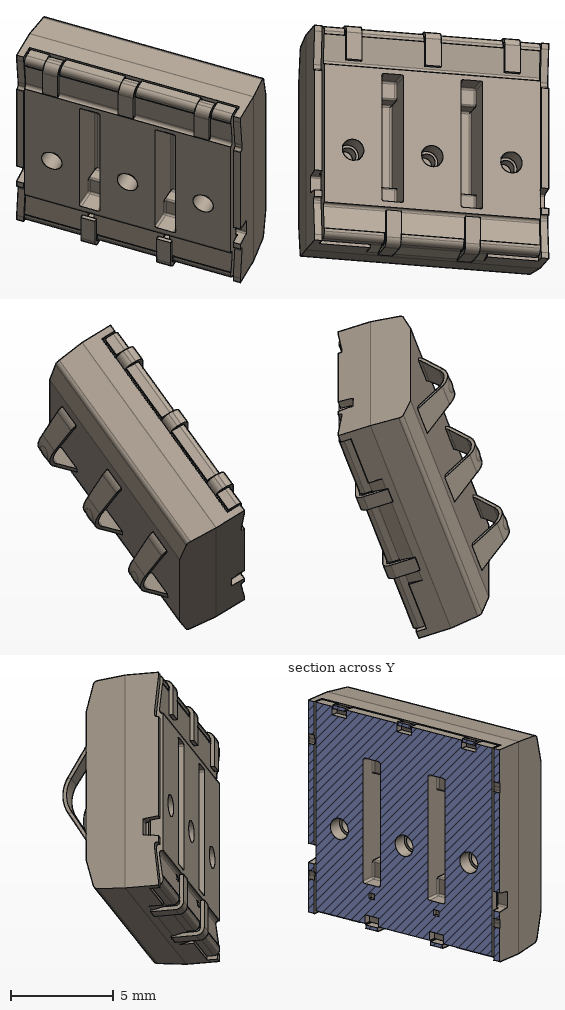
import cadquery as cq
import math


WIDTH = 11.82
HEIGHT = 10.99
REAR_Y = 2.02
WALL_FRONT_Y = -1.67
DRAFT_ANGLE = 5
DRAFT = math.tan(math.radians(DRAFT_ANGLE))
SLANT_START_Z = 3.82
SLANT_RUN_Y = 0.41
REAR_EDGE_RADIUS = 0.26
WALL_THICKNESS = 0.38
CAVITY_FLOOR_Y = -1.15

SIDE_GAP = 0.08
BASE_FRONT_Y = -1.8
BASE_BOTTOM_Z = -5.33
BASE_CORNER_RADIUS = 0.28
TOP_RIM_Z = 5.06
BOTTOM_RIM_Z = -4.88
GROOVE_REAR_Y = -0.92
BASE_REAR_Y = -1.03
GROOVE_DEPTH = 0.18

PITCH = 4.0
UPPER_CONTACTS_X = (-PITCH, 0, PITCH)
LOWER_CONTACTS_X = (-PITCH / 2, PITCH / 2)
TAB_THICKNESS = 0.2
TAB_FRONT_Y = -2.02
TAB_END_Z = 3.78
HEIGHT_OVER_TABS = 11.15
TAB_OUTER_Z = HEIGHT_OVER_TABS / 2
TAB_BEND_RADIUS = 0.41
UPPER_TAB_WIDTH = 0.79
LOWER_TAB_WIDTH = 0.75
TAB_CLEARANCE = 0.04

half_width = WIDTH / 2
half_height = HEIGHT / 2
cavity_width = WIDTH - 2 * WALL_THICKNESS
base_width = cavity_width - 2 * SIDE_GAP
tab_inner_y = TAB_FRONT_Y + TAB_THICKNESS


def extrude_side_profile(points, width):
    """Extrude a closed (Y, Z) outline symmetrically along X."""
    return cq.Workplane("YZ").polyline(points).close().extrude(width / 2, both=True)


def mirrored_about_x0(right_half):
    """Close a symmetric outline by adding the mirror image of its right half."""
    left_half = [(-x, other) for x, other in reversed(right_half)]
    return right_half + left_half


def extrude_plan(right_half):
    """Extrude a symmetric (X, Y) outline over the full housing height."""
    outline = cq.Workplane("XY").polyline(mirrored_about_x0(right_half)).close()
    return outline.extrude(half_height, both=True)


def round_edge(body, y, z, radius):
    """Fillet the edge along X that passes closest to (Y, Z)."""
    return body.edges(cq.NearestToPointSelector((0, y, z))).fillet(radius)


def box_between(x_range, y_range, z_range):
    """Axis-aligned box from its lower and upper limits."""
    (x0, x1), (y0, y1), (z0, z1) = x_range, y_range, z_range
    return cq.Workplane("XY").box(x1 - x0, y1 - y0, z1 - z0, centered=False).translate((x0, y0, z0))


def make_shell():
    """Solid housing with slanted rear edges and drafted sides behind Y = 0."""
    slant_y = REAR_Y - SLANT_RUN_Y
    slant_z = half_height - DRAFT * slant_y
    upper_half = [(WALL_FRONT_Y, half_height), (0, half_height), (slant_y, slant_z), (REAR_Y, SLANT_START_Z)]
    lower_half = [(y, -z) for y, z in reversed(upper_half)]
    body = extrude_side_profile(upper_half + lower_half, WIDTH)
    for side in (1, -1):
        body = round_edge(body, slant_y, side * slant_z, REAR_EDGE_RADIUS)

    rear_half_width = half_width - DRAFT * REAR_Y
    right_half = [(half_width, WALL_FRONT_Y), (half_width, 0), (rear_half_width, REAR_Y)]
    return body.intersect(extrude_plan(right_half))


def cut_base_recess(body):
    """Recess between the side walls, and the groove that bounds it at the top."""
    half = cavity_width / 2
    recess = box_between((-half, half), (BASE_FRONT_Y, CAVITY_FLOOR_Y), (-half_height, half_height))
    groove = box_between(
        (-half, half), (CAVITY_FLOOR_Y, GROOVE_REAR_Y), (half_height - GROOVE_DEPTH, half_height))
    return body.cut(recess).cut(groove)


def cut_bottom_ramp(body):
    """Shallow ramp in the middle of the bottom face, rising towards the base."""
    ramp_width = 5.91
    ramp_run = 0.71
    ramp = extrude_side_profile(
        [
            (CAVITY_FLOOR_Y, -half_height),
            (CAVITY_FLOOR_Y, BASE_BOTTOM_Z),
            (CAVITY_FLOOR_Y + ramp_run, -half_height),
        ],
        ramp_width,
    )
    return body.cut(ramp)


def cut_wall_reliefs(body):
    """Sloped reliefs in the front edge of the side walls, behind the tabs."""
    relief_y = -1.48
    slope_start_z = 29.9
    slope_end_z = 44.0
    relief_radius = 0.13
    for side, step_z in ((0.12, 27.2), (-0.12, 27.6)):
        relief = extrude_side_profile(
            [
                (WALL_FRONT_Y, side * step_z),
                (relief_y, side * step_z),
                (relief_y, side * slope_start_z),
                (WALL_FRONT_Y, side * slope_end_z),
            ],
            WIDTH,
        )
        relief = round_edge(relief, relief_y, side * step_z, relief_radius)
        body = body.cut(relief)
    return body


def cut_wall_notches(body):
    """Tapered notch low in each side wall, running a little way in behind the base."""
    half_base = base_width / 2
    undercut = 0.13
    notch_floor_y = -0.89
    floor_radius = 0.08
    floor_top_z, floor_bottom_z = -2.01, -2.84
    mouth_top_z, mouth_bottom_z = -1.91, -2.93
    notch = extrude_side_profile(
        [
            (WALL_FRONT_Y, mouth_top_z),
            (notch_floor_y, floor_top_z),
            (notch_floor_y, floor_bottom_z),
            (WALL_FRONT_Y, mouth_bottom_z),
        ],
        WIDTH,
    )
    for z in (floor_top_z, floor_bottom_z):
        notch = round_edge(notch, notch_floor_y, z, floor_radius)
    right_half = [
        (half_base, WALL_FRONT_Y),
        (half_base, CAVITY_FLOOR_Y),
        (half_base - undercut, CAVITY_FLOOR_Y + undercut),
        (half_base - undercut, REAR_Y),
    ]
    return body.cut(notch.cut(extrude_plan(right_half)))


def make_base():
    """Base plate with a raised middle and sloped faces leading to its rounded edges."""
    top_step_z, bottom_step_z = 3.52, -3.56
    top_step_radius, bottom_step_radius = 0.18, 0.14
    step_y = -1.58
    rim_y = -1.76
    base = extrude_side_profile(
        [
            (BASE_REAR_Y, half_height),
            (BASE_FRONT_Y, half_height),
            (BASE_FRONT_Y, TOP_RIM_Z),
            (rim_y, TOP_RIM_Z),
            (step_y, top_step_z),
            (BASE_FRONT_Y, top_step_z),
            (BASE_FRONT_Y, bottom_step_z),
            (step_y, bottom_step_z),
            (rim_y, BOTTOM_RIM_Z),
            (BASE_FRONT_Y, BOTTOM_RIM_Z),
            (BASE_FRONT_Y, BASE_BOTTOM_Z),
            (BASE_REAR_Y, BASE_BOTTOM_Z),
        ],
        base_width,
    )
    base = round_edge(base, BASE_FRONT_Y, half_height, BASE_CORNER_RADIUS)
    base = round_edge(base, BASE_FRONT_Y, BASE_BOTTOM_Z, BASE_CORNER_RADIUS)
    base = round_edge(base, step_y, top_step_z, top_step_radius)
    return round_edge(base, step_y, bottom_step_z, bottom_step_radius)


def make_pocket(x):
    """Long drafted pocket with a deeper middle between two shallower ends."""
    width, length = 1.09, 6.52
    end_depth, step_depth = 1.0, 0.71
    middle_length = 4.49
    corner_radius, step_radius = 0.11, 0.1
    step_y = BASE_FRONT_Y + end_depth
    ends = (
        cq.Workplane("XZ", origin=(x, BASE_FRONT_Y, 0))
        .rect(width, length)
        .extrude(-end_depth, taper=DRAFT_ANGLE)
        .edges("not <Y")
        .fillet(corner_radius)
    )
    middle = (
        cq.Workplane("XZ", origin=(x, BASE_FRONT_Y, 0))
        .rect(width, middle_length + 2 * end_depth * DRAFT)
        .extrude(-end_depth - step_depth, taper=DRAFT_ANGLE)
        .edges(">Y")
        .fillet(corner_radius)
    )
    pocket = ends.union(middle)
    for side in (1, -1):
        step_edge = cq.NearestToPointSelector((x, step_y, side * middle_length / 2))
        pocket = pocket.edges(step_edge).fillet(step_radius)
    return pocket


def cut_front_holes(body):
    """Stepped blind hole in front of each upper contact."""
    hole_z = -0.77
    outer_diameter, inner_diameter = 1.08, 0.8
    outer_depth, inner_depth = 1.0, 1.65
    for x in UPPER_CONTACTS_X:
        for diameter, depth in ((outer_diameter, outer_depth), (inner_diameter, inner_depth)):
            hole = cq.Workplane("XZ", origin=(x, BASE_FRONT_Y, hole_z)).circle(diameter / 2).extrude(-depth)
            body = body.cut(hole)
    return body


def cut_tab_slot(body, x, tab_width, y_range, z_range):
    """Clearance slot through the base edge where a tab wraps around."""
    half = tab_width / 2 + TAB_CLEARANCE
    return body.cut(box_between((x - half, x + half), y_range, z_range))


def cut_tab_end_recess(body, x):
    """Small recess in the sloped base face behind the free end of a lower tab."""
    half_recess = 0.15
    rear_y = -1.36
    top_z, bottom_z = -3.69, -3.96
    return body.cut(
        box_between((x - half_recess, x + half_recess), (BASE_FRONT_Y, rear_y), (bottom_z, top_z)))


def bent_tab(outer, inner, width):
    """Strip from its outer and inner (Y, Z) paths; the inner points between the ends are bends."""
    tab = extrude_side_profile(outer + inner[::-1], width)
    for y, z in outer[1:-1]:
        tab = round_edge(tab, y, z, TAB_BEND_RADIUS)
    for y, z in inner[1:-1]:
        tab = round_edge(tab, y, z, TAB_BEND_RADIUS - TAB_THICKNESS)
    return tab


def make_upper_tab(x):
    """Strip hanging over the front, bent across the top edge and down again into the base."""
    rear_y = -0.98
    root_z = 4.73
    inner_z = TAB_OUTER_Z - TAB_THICKNESS
    outer = [
        (TAB_FRONT_Y, TAB_END_Z),
        (TAB_FRONT_Y, TAB_OUTER_Z),
        (rear_y, TAB_OUTER_Z),
        (rear_y, root_z),
    ]
    inner = [
        (tab_inner_y, TAB_END_Z),
        (tab_inner_y, inner_z),
        (rear_y - TAB_THICKNESS, inner_z),
        (rear_y - TAB_THICKNESS, root_z),
    ]
    return bent_tab(outer, inner, UPPER_TAB_WIDTH).translate((x, 0, 0))


def make_lower_tab(x):
    """Strip standing in front of the base, bent under the bottom edge and along the bottom face."""
    rear_y = -0.34
    inner_z = TAB_THICKNESS - TAB_OUTER_Z
    outer = [(TAB_FRONT_Y, -TAB_END_Z), (TAB_FRONT_Y, -TAB_OUTER_Z), (rear_y, -TAB_OUTER_Z)]
    inner = [(tab_inner_y, -TAB_END_Z), (tab_inner_y, inner_z), (rear_y, inner_z)]
    return bent_tab(outer, inner, LOWER_TAB_WIDTH).translate((x, 0, 0))


def make_spring(x):
    """Bowed contact spring behind the rear face, with a domed contact point."""
    thickness = 0.19
    bow_slope = 1.6
    tip_y, tip_z = 3.83, 0.04
    bow_radius = 1.77
    elbow_z = 2.78
    elbow_radius = 0.71
    root_y = 1.54
    tip_width = 1.05
    upper_root_width, lower_root_width = 1.23, 1.42
    taper_start_z = 0.89
    lower_root_z = -2.85
    dome_top_y = 3.56
    dome_radius = 1.18

    shift = thickness * math.hypot(1, bow_slope) / bow_slope
    inner_tip_y = tip_y - shift
    inner_elbow_z = elbow_z - thickness

    def arm_y(apex_y, z):
        return apex_y - abs(z - tip_z) / bow_slope

    def arm_z(apex_y, y):
        return tip_z - (apex_y - y) * bow_slope

    elbow_y = arm_y(tip_y, elbow_z)
    inner_elbow_y = arm_y(inner_tip_y, inner_elbow_z)
    strip = extrude_side_profile(
        [
            (root_y, elbow_z),
            (elbow_y, elbow_z),
            (tip_y, tip_z),
            (root_y, arm_z(tip_y, root_y)),
            (root_y, arm_z(inner_tip_y, root_y)),
            (inner_tip_y, tip_z),
            (inner_elbow_y, inner_elbow_z),
            (root_y, inner_elbow_z),
        ],
        lower_root_width,
    )
    strip = round_edge(strip, tip_y, tip_z, bow_radius)
    strip = round_edge(strip, inner_tip_y, tip_z, bow_radius - thickness)
    strip = round_edge(strip, elbow_y, elbow_z, elbow_radius)
    strip = round_edge(strip, inner_elbow_y, inner_elbow_z, elbow_radius - thickness)

    right_edge = [
        (upper_root_width / 2, elbow_z),
        (tip_width / 2, taper_start_z),
        (tip_width / 2, -taper_start_z),
        (lower_root_width / 2, lower_root_z),
        (lower_root_width / 2, arm_z(tip_y, root_y)),
    ]
    outline = cq.Workplane("XZ").polyline(mirrored_about_x0(right_edge)).close()
    spring = strip.intersect(outline.extrude(-tip_y))

    dome = cq.Workplane("XY").sphere(dome_radius).translate((0, dome_top_y - dome_radius, tip_z))
    dome_base_y = dome_top_y - thickness
    cap = box_between((-tip_width / 2, tip_width / 2), (dome_base_y, dome_top_y), (-tip_width, tip_width))
    return spring.union(dome.intersect(cap)).translate((x, 0, 0))


body = make_shell()
body = cut_base_recess(body)
body = cut_bottom_ramp(body)
body = cut_wall_reliefs(body)
body = body.union(make_base())
body = cut_wall_notches(body)
body = cut_front_holes(body)

for x in LOWER_CONTACTS_X:
    body = body.cut(make_pocket(x))
    body = cut_tab_end_recess(body, x)
    slot_y = (BASE_FRONT_Y, CAVITY_FLOOR_Y)
    body = cut_tab_slot(body, x, LOWER_TAB_WIDTH, slot_y, (-half_height, BOTTOM_RIM_Z))
    body = body.union(make_lower_tab(x))

for x in UPPER_CONTACTS_X:
    slot_y = (BASE_FRONT_Y, GROOVE_REAR_Y)
    body = cut_tab_slot(body, x, UPPER_TAB_WIDTH, slot_y, (TOP_RIM_Z, half_height))
    body = body.union(make_upper_tab(x))
    body = body.union(make_spring(x))

result = body